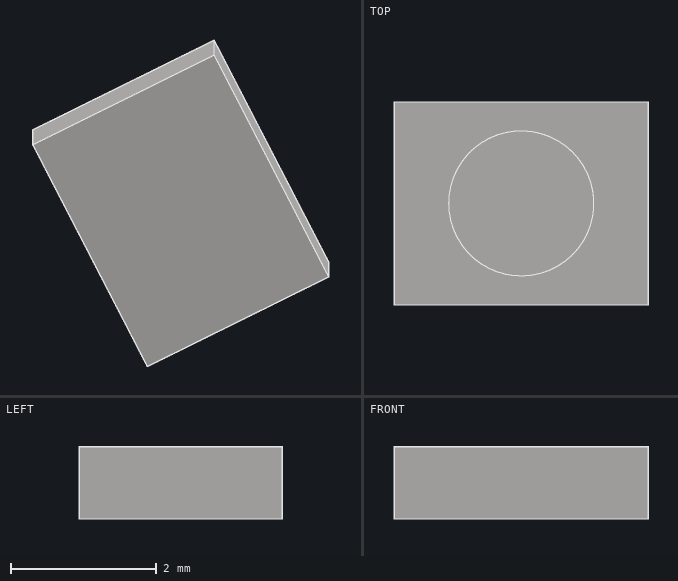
import cadquery as cq

length = 3.5
width = 2.8
height = 1.0

pocket_diameter = 2.0
pocket_depth = height / 2

block = cq.Workplane("XY").box(length, width, height, centered=(True, True, False))

result = block.faces(">Z").workplane().hole(pocket_diameter, pocket_depth)